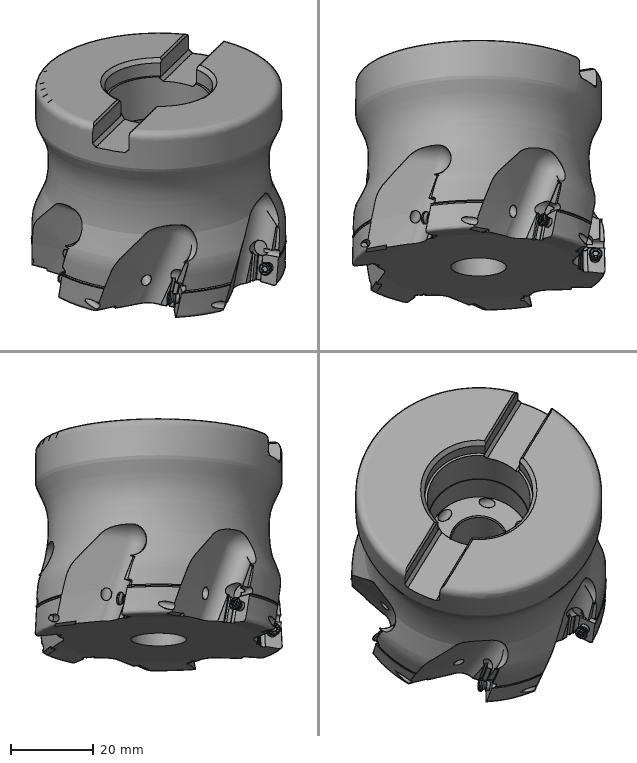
import cadquery as cq
import math

height = 49.35
hub_radius = 30.0
hub_round = 2.0
hub_bottom = 39.7
hub_edge_radius, hub_edge_height = 29.75, 38.85
neck_radius = 26.95
upper_taper_radius, upper_taper_height = 28.35, 35.8
neck_top, neck_bottom = 29.6, 27.85
flare_radius, flare_height = 27.8, 21.05
flare_middle_radius, flare_middle_height = 28.9, 18.3
shoulder_radius, shoulder_height = 30.3, 15.1
shoulder_middle_radius, shoulder_middle_height = 30.8, 13.2
land_radius = 30.95
land_top = 11.55
rim_rise = 0.155
rim_radius = land_radius + rim_rise
rim_height = 6.95
rim_width = 0.3
foot_round = 0.75
dish_depth = 0.7
dish_radius = 24.05

bore_radius = 6.8
bore_chamfer = 0.3
counterbore_radius = 12.55
counterbore_step = 33.8
counterbore_lower_radius = 12.4
counterbore_floor = 25.5
recess_radius = 13.2
recess_depth = 4.5
recess_chamfer = 1.0
slot_width = 9.55
slot_depth = 5.6
slot_floor_chamfer = 0.9
slot_edge_chamfer = 0.5

tooth_count = 6
tooth_step = 360 / tooth_count

flute_round = 4.0
flute_corner = cq.Vector(24.05, 0.1, 20.25)
flute_rise = cq.Vector(1.9, 12.3, 31.4)
flute_spread = cq.Vector(4.6, -11.0, 0.8)
flute_foot_spread = cq.Vector(3.4, -17.8, 0)
flute_length = 22.35
flute_width = 24.85
flute_wall_start = 4.35
flute_wall_offset = 1.85
flute_wall_rise = cq.Vector(0, 8.6, 31.4)
flute_wall_lean = 0.15
flute_wall_reach = 9.3

seat_tilt = 12.0
seat_center = cq.Vector(28.5, 1.4, 4.15)
seat_inner = 1.85
seat_bottom = 6.2
seat_reach = 5.0
seat_wall_depth = 3.7
seat_wall_slope = 1.55
seat_wall_inset = 3.1
wall_notch_start, wall_notch_end = 0.95, 1.6
wall_notch_depth = 0.45
corner_groove_radius = 0.55
corner_groove_offset = 0.5
top_groove_radius = 0.9
top_groove_offset = 3.85
seat_top = top_groove_offset + top_groove_radius
corner_pocket_radius = 2.0
corner_pocket_inset = 2.5
corner_pocket_offset = 4.5
corner_pocket_depth = 0.75

heel_start = 11.2
heel_end = 21.1
heel_rise = 3.0
heel_inner = 23.6

coolant_radius = 1.3
coolant_inlet = cq.Vector(3.15, -10.45, counterbore_floor)
coolant_outlet = cq.Vector(23.6, -5.8, 7.1)
coolant_overrun = 2.5

thread_radius = 1.2
thread_depth = 5.0
pilot_radius = 0.95
pilot_depth = 15.55
thread_height = 0.9
neck_height = 1.25
screw_neck_radius = 0.95
cone_height = 1.9
head_radius = 1.55
head_height = 2.55
head_chamfer = 0.25
socket_radius = 0.75
socket_lobe_radius = 0.22
socket_lobes = 6
socket_depth = 0.6

seat_normal = cq.Vector(0, -math.cos(math.radians(seat_tilt)), math.sin(math.radians(seat_tilt)))
seat_plane = cq.Plane(origin=seat_center, xDir=(1, 0, 0), normal=seat_normal)


def around(shape):
    return [shape.rotate((0, 0, 0), (0, 0, 1), i * tooth_step) for i in range(tooth_count)]


def turned_blank():
    arc_middle = math.sqrt(0.5)
    hub_trim = hub_round * (1 - arc_middle)
    foot_trim = foot_round * (1 - arc_middle)
    return (
        cq.Workplane("XZ")
        .moveTo(0, height)
        .lineTo(hub_radius - hub_round, height)
        .threePointArc((hub_radius - hub_trim, height - hub_trim), (hub_radius, height - hub_round))
        .lineTo(hub_radius, hub_bottom)
        .lineTo(hub_edge_radius, hub_edge_height)
        .lineTo(upper_taper_radius, upper_taper_height)
        .tangentArcPoint((neck_radius, neck_top), relative=False)
        .lineTo(neck_radius, neck_bottom)
        .tangentArcPoint((flare_radius, flare_height), relative=False)
        .threePointArc((flare_middle_radius, flare_middle_height), (shoulder_radius, shoulder_height))
        .threePointArc((shoulder_middle_radius, shoulder_middle_height), (land_radius, land_top))
        .lineTo(land_radius, rim_height + rim_width)
        .lineTo(rim_radius, rim_height)
        .lineTo(land_radius, rim_height - rim_width)
        .lineTo(land_radius, foot_round)
        .threePointArc((land_radius - foot_trim, foot_trim), (land_radius - foot_round, 0))
        .lineTo(dish_radius, dish_depth)
        .lineTo(0, dish_depth)
        .close()
        .revolve(360, (0, 0, 0), (0, 1, 0))
    )


def bore_cutter():
    recess_floor = height - recess_depth
    return (
        cq.Workplane("XZ")
        .polyline([
            (0, 0),
            (bore_radius, 0),
            (bore_radius, counterbore_floor - bore_chamfer),
            (bore_radius + bore_chamfer, counterbore_floor),
            (counterbore_lower_radius, counterbore_floor),
            (counterbore_lower_radius, counterbore_step),
            (counterbore_radius, counterbore_step),
            (counterbore_radius, recess_floor),
            (recess_radius, recess_floor),
            (recess_radius, height - recess_chamfer),
            (recess_radius + recess_chamfer, height),
            (0, height),
        ])
        .close()
        .revolve(360, (0, 0, 0), (0, 1, 0))
    )


def slot_cutter():
    half = slot_width / 2
    floor = height - slot_depth
    right = [
        (half - slot_floor_chamfer, floor),
        (half, floor + slot_floor_chamfer),
        (half, height - slot_edge_chamfer),
        (half + slot_edge_chamfer, height),
    ]
    left = [(-x, z) for x, z in reversed(right)]
    return cq.Workplane("XZ").polyline(right + left).close().extrude(rim_radius, both=True)


def floor_section(corner, spread, outward):
    across = spread * flute_width
    up = outward * flute_width
    return cq.Wire.makePolygon([corner, corner + across, corner + across + up, corner + up], close=True)


def flute_cutter():
    rise = flute_rise.normalized()
    spread = flute_spread.normalized()
    outward = rise.cross(spread).normalized()
    center = flute_corner + outward * flute_round
    ball = cq.Workplane().sphere(flute_round).translate(center)
    channel = cq.Solid.makeCylinder(flute_round, flute_length, center, rise * -1)
    end_round = cq.Solid.makeCylinder(flute_round, flute_length, center, spread)
    foot = flute_corner - rise * flute_length
    sections = [
        floor_section(flute_corner, spread, outward),
        floor_section(foot, flute_foot_spread.normalized(), outward),
    ]
    floor = cq.Solid.makeLoft(sections, True)
    mouth = cq.Solid.makeCylinder(flute_round, flute_wall_reach, center, outward)
    wall_origin = center - rise * flute_wall_start + cq.Vector(flute_wall_offset, 0, 0)
    wall_plane = cq.Plane(origin=wall_origin, xDir=(1, -flute_wall_lean, 0), normal=flute_wall_rise * -1)
    wall = (
        cq.Workplane(wall_plane)
        .rect(flute_wall_reach, 2 * flute_round, centered=(False, True))
        .extrude(flute_length)
    )
    cutter = ball.union(wall)
    for part in (channel, end_round, mouth, floor):
        cutter = cutter.union(cq.Workplane(part))
    return cutter


def seat_cutter():
    side = cq.Plane(origin=seat_center - seat_plane.yDir * seat_bottom, xDir=(1, 0, 0),
                    normal=seat_plane.yDir)
    wall_slope = seat_wall_slope / seat_wall_depth
    notch_start_x = -seat_wall_inset - wall_slope * wall_notch_start
    notch_end_x = -seat_wall_inset - wall_slope * wall_notch_end
    pocket = (
        cq.Workplane(side)
        .polyline([
            (-seat_inner, 0),
            (seat_reach, 0),
            (seat_reach, -seat_wall_depth),
            (-seat_wall_inset - seat_wall_slope, -seat_wall_depth),
            (notch_end_x, -wall_notch_end),
            (notch_end_x - wall_notch_depth, -wall_notch_end),
            (notch_end_x - wall_notch_depth, -wall_notch_start),
            (notch_start_x, -wall_notch_start),
            (-seat_wall_inset, 0),
        ])
        .close()
        .extrude(seat_bottom + seat_top)
    )
    corner_groove = (
        cq.Workplane(side)
        .center(-seat_inner - corner_groove_offset, 0)
        .circle(corner_groove_radius)
        .extrude(seat_bottom + seat_top)
    )
    top_groove = (
        cq.Workplane("YZ", origin=seat_plane.toWorldCoords((-seat_inner, top_groove_offset, 0)))
        .circle(top_groove_radius)
        .extrude(seat_reach + seat_inner)
    )
    corner_pocket = (
        cq.Workplane(seat_plane)
        .workplane(offset=-corner_pocket_depth)
        .center(-corner_pocket_inset, corner_pocket_offset)
        .circle(corner_pocket_radius)
        .extrude(corner_pocket_depth + seat_wall_depth)
    )
    return pocket.union(corner_groove).union(top_groove).union(corner_pocket)


def heel_cutter():
    return (
        cq.Workplane("YZ", origin=(heel_inner, 0, 0))
        .polyline([(heel_start, 0), (heel_end, 0), (heel_end, heel_rise)])
        .close()
        .extrude(rim_radius - heel_inner)
    )


def screw_hole():
    threaded = cq.Workplane(seat_plane).circle(thread_radius).extrude(-thread_depth)
    pilot = cq.Workplane(seat_plane).circle(pilot_radius).extrude(-pilot_depth)
    return threaded.union(pilot)


def coolant_hole():
    run = coolant_outlet - coolant_inlet
    direction = run.normalized()
    start = coolant_inlet - direction * coolant_overrun
    return cq.Solid.makeCylinder(coolant_radius, run.Length + 2 * coolant_overrun, start, direction)


def make_body():
    body = turned_blank().cut(bore_cutter()).cut(slot_cutter())
    cutters = [
        flute_cutter().val(),
        seat_cutter().val(),
        heel_cutter().val(),
        screw_hole().val(),
        coolant_hole(),
    ]
    for cutter in cutters:
        for copy in around(cutter):
            body = body.cut(cq.Workplane(copy))
    return body


def make_screw():
    side = cq.Plane(origin=seat_center, xDir=(1, 0, 0), normal=seat_plane.yDir * -1)
    shape = (
        cq.Workplane(side)
        .polyline([
            (0, -thread_depth),
            (thread_radius, -thread_depth),
            (thread_radius, thread_height),
            (screw_neck_radius, thread_height),
            (screw_neck_radius, neck_height),
            (head_radius, cone_height),
            (head_radius, head_height - head_chamfer),
            (head_radius - head_chamfer, head_height),
            (0, head_height),
        ])
        .close()
        .revolve(360, (0, 0, 0), (0, 1, 0))
    )
    top = cq.Workplane(seat_plane).workplane(offset=head_height)
    socket = top.circle(socket_radius).extrude(-socket_depth)
    lobes = (
        top.polarArray(socket_radius, 0, 360, socket_lobes)
        .circle(socket_lobe_radius)
        .extrude(-socket_depth)
    )
    return shape.cut(socket).cut(lobes)


body = make_body()
screws = around(make_screw().val())
result = cq.Compound.makeCompound([body.val(), *screws])